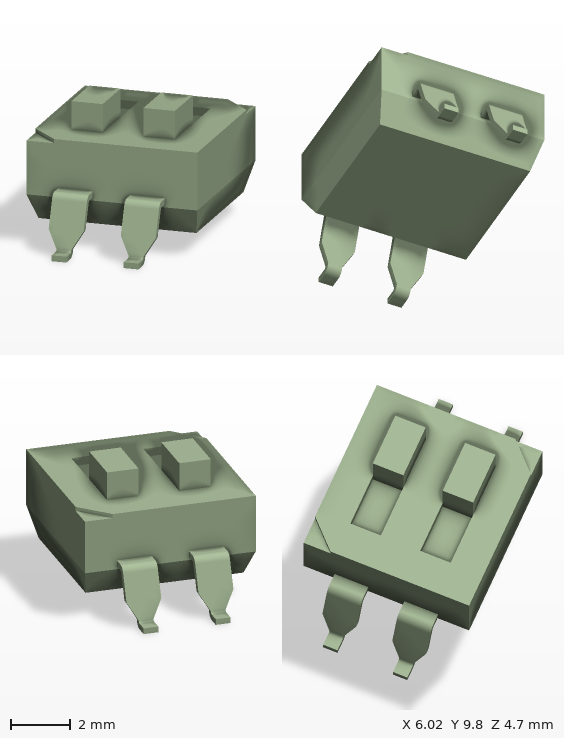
import cadquery as cq
import math

overall_length = 9.8
overall_height = 4.7

housing_width = 6.02
housing_length = 6.22
housing_base_width = 5.56
housing_base_length = 5.0
housing_bottom_z = 0.71
housing_shoulder_z = 1.69
housing_top_z = 3.7
corner_mark_leg = 0.98
corner_mark_depth = 0.15

switch_pitch = 2.54
slot_width = 1.11
slot_length = 3.81
slot_depth = 0.29
switch_xs = (-switch_pitch / 2, switch_pitch / 2)

lead_thickness = 0.21
lead_width = 1.225
foot_width = 0.52
lead_arm_top_z = 2.01
lead_arm_length = 0.38
lead_slope = 68.7
bend_inner_radius = 0.1
bend_outer_radius = bend_inner_radius + lead_thickness
taper_top_z = 0.88
taper_bottom_z = 0.27


def make_housing():
    body = cq.Workplane("XY").workplane(offset=housing_shoulder_z).rect(housing_width, housing_length)
    body = body.extrude(housing_top_z - housing_shoulder_z)
    base = (
        cq.Workplane("XY")
        .workplane(offset=housing_bottom_z)
        .rect(housing_base_width, housing_base_length)
        .workplane(offset=housing_shoulder_z - housing_bottom_z)
        .rect(housing_width, housing_length)
        .loft(ruled=True)
    )
    body = body.union(base)
    for side in (-1, 1):
        body = body.cut(make_corner_mark(side))
    for x in switch_xs:
        body = body.cut(make_slot(x)).union(make_actuator(x))
    return body


def make_corner_mark(side):
    """Shallow triangle at the (-X, -Y) corner for side -1, or the (+X, +Y) corner for side 1."""
    corner_x = side * housing_width / 2
    corner_y = side * housing_length / 2
    leg = side * corner_mark_leg
    return (
        cq.Workplane("XY")
        .workplane(offset=housing_top_z)
        .polyline([(corner_x, corner_y), (corner_x - leg, corner_y), (corner_x, corner_y - leg)])
        .close()
        .extrude(-corner_mark_depth)
    )


def make_slot(x):
    slot = cq.Workplane("XY").workplane(offset=housing_top_z)
    return slot.center(x, 0).rect(slot_width, slot_length).extrude(-slot_depth)


def make_actuator(x):
    """Raised block, part of the housing body, standing on the -Y half of the slot floor."""
    actuator_length = slot_length / 2
    slot_floor_z = housing_top_z - slot_depth
    return (
        cq.Workplane("XY")
        .workplane(offset=slot_floor_z)
        .center(x, -actuator_length / 2)
        .rect(slot_width, actuator_length)
        .extrude(overall_height - slot_floor_z)
    )


def make_bent_strip():
    """Full-width lead strip leaving the +Y face: arm, sloping leg and foot, joined by two bends."""
    slope = math.radians(lead_slope)
    half_bend_tangent = math.tan(slope / 2)
    leg_run = (lead_arm_top_z - lead_thickness) / math.tan(slope)
    start_y = housing_length / 2
    end_y = overall_length / 2

    upper_y = start_y + lead_arm_length + bend_outer_radius * half_bend_tangent
    shoulder_top = (upper_y, lead_arm_top_z)
    ankle_top = (upper_y + leg_run, lead_thickness)
    mitre = lead_thickness * half_bend_tangent
    shoulder_bottom = (shoulder_top[0] - mitre, lead_arm_top_z - lead_thickness)
    ankle_bottom = (ankle_top[0] - mitre, 0)

    strip = (
        cq.Workplane("YZ")
        .polyline([
            (start_y, lead_arm_top_z),
            shoulder_top,
            ankle_top,
            (end_y, lead_thickness),
            (end_y, 0),
            ankle_bottom,
            shoulder_bottom,
            (start_y, lead_arm_top_z - lead_thickness),
        ])
        .close()
        .extrude(lead_width / 2, both=True)
    )
    bends = (
        (shoulder_top, bend_outer_radius),
        (shoulder_bottom, bend_inner_radius),
        (ankle_top, bend_inner_radius),
        (ankle_bottom, bend_outer_radius),
    )
    for (y, z), radius in bends:
        strip = strip.edges(cq.NearestToPointSelector((0, y, z))).fillet(radius)
    return strip


def make_lead_outline():
    """Block with the lead's outline across X: wide at the arm, tapering to the narrow foot."""
    return (
        cq.Workplane("XZ")
        .polyline([
            (-foot_width / 2, 0),
            (foot_width / 2, 0),
            (foot_width / 2, taper_bottom_z),
            (lead_width / 2, taper_top_z),
            (lead_width / 2, lead_arm_top_z),
            (-lead_width / 2, lead_arm_top_z),
            (-lead_width / 2, taper_top_z),
            (-foot_width / 2, taper_bottom_z),
        ])
        .close()
        .extrude(-overall_length / 2)
    )


def make_lead(x, turn):
    """One lead at x, on the +Y face for turn 0 or the -Y face for turn 180."""
    lead = make_bent_strip().intersect(make_lead_outline())
    return lead.rotate((0, 0, 0), (0, 0, 1), turn).translate((x, 0, 0))


housing = make_housing()
leads = [make_lead(x, turn) for x in switch_xs for turn in (0, 180)]

result = cq.Compound.makeCompound([housing.solids().val(), *[lead.solids().val() for lead in leads]])